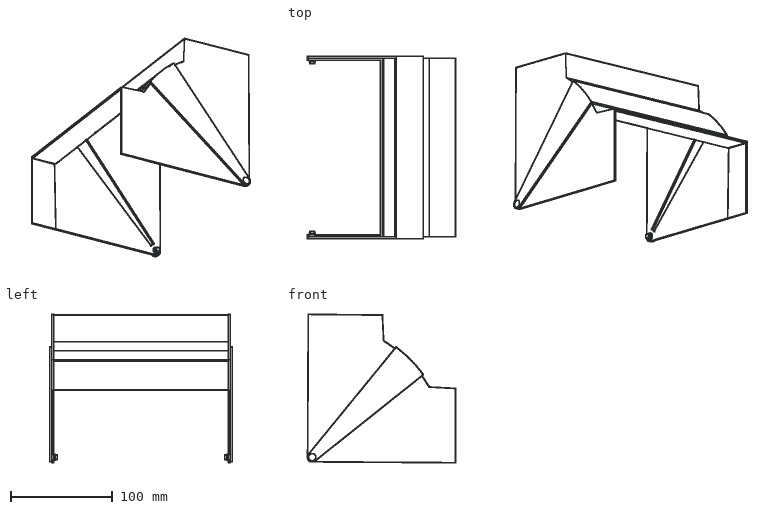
import cadquery as cq
import math

overall_width = 179.4
sheet = 2.0
hub_radius = 4.7

housing_half_width = overall_width / 2 - sheet
housing_radius = 134.2
top_left = (-4.0, 140.5)
top_right = (69.0, 139.8)
upper_neck_x = 70.3
lower_neck_z = 69.0
bridge_drop = 2.9
right_top = (140.8, 67.6)
right_bottom = (140.8, -5.5)

slot_upper_start = (2.3, 6.8)
slot_lower_start = (6.0, 3.8)
slot_upper_angle = 52.3
slot_lower_angle = 45.5

relief_bottom_x = 114.3
relief_top_x = 115.7
relief_depth = 0.4

cover_radius = housing_radius + sheet
cover_upper_angle = 52.7
cover_lower_angle = 36.6

pin_radius = 3.5
collar_radius = 2.9
collar_length = 1.5
tip_radius = 2.3
tip_length = 2.2


def polar(radius, degrees):
    angle = math.radians(degrees)
    return (radius * math.cos(angle), radius * math.sin(angle))


def extrude_centred(profile, half_width):
    """Extrude an XZ profile equally to both sides of the middle plane."""
    return profile.extrude(half_width, both=True)


def cylinder(radius, y_start, y_end):
    """Cylinder on the pivot axis between two Y positions."""
    return cq.Workplane("XZ", origin=(0, y_start, 0)).circle(radius).extrude(y_start - y_end)


def tangent_point(point, side):
    """Touch point on the hub of the line from a point; side is +1 or -1."""
    distance = math.hypot(*point)
    swing = math.degrees(math.acos(hub_radius / distance))
    heading = math.degrees(math.atan2(point[1], point[0]))
    return polar(hub_radius, heading + side * swing)


def housing_outline():
    upper_neck = (upper_neck_x, math.sqrt(housing_radius**2 - upper_neck_x**2))
    lower_neck = (math.sqrt(housing_radius**2 - lower_neck_z**2), lower_neck_z)
    return (
        cq.Workplane("XZ")
        .moveTo(*tangent_point(top_left, 1))
        .lineTo(*top_left)
        .lineTo(*top_right)
        .lineTo(*upper_neck)
        .threePointArc(polar(housing_radius, 45), lower_neck)
        .lineTo(*right_top)
        .lineTo(*right_bottom)
        .lineTo(*tangent_point(right_bottom, -1))
        .threePointArc(polar(hub_radius, 225), tangent_point(top_left, 1))
        .close()
    )


def housing_cavity():
    """Space between the side plates, inside the end walls and the bridge."""
    inner_radius = housing_radius - sheet
    wall_x = top_right[0] - sheet
    inner_neck_x = upper_neck_x - sheet
    inner_neck_z = lower_neck_z - bridge_drop
    roof_z = right_top[1] - sheet
    margin = 9.0
    low = right_bottom[1] - margin
    return (
        cq.Workplane("XZ")
        .moveTo(low, low)
        .lineTo(low, top_left[1] + margin)
        .lineTo(wall_x, top_left[1] + margin)
        .lineTo(wall_x, top_right[1])
        .lineTo(inner_neck_x, math.sqrt(inner_radius**2 - inner_neck_x**2))
        .threePointArc(
            polar(inner_radius, 45),
            (math.sqrt(inner_radius**2 - inner_neck_z**2), inner_neck_z),
        )
        .lineTo(right_top[0], roof_z)
        .lineTo(right_bottom[0] + margin, roof_z)
        .lineTo(right_bottom[0] + margin, low)
        .close()
    )


def slot_outline():
    """Wedge between the leaves, closed by an arc around the pivot."""
    start_radius = math.hypot(*slot_upper_start)
    return (
        cq.Workplane("XZ")
        .moveTo(*slot_upper_start)
        .lineTo(*polar(cover_radius, slot_upper_angle))
        .lineTo(*polar(cover_radius, slot_lower_angle))
        .lineTo(*slot_lower_start)
        .threePointArc(polar(start_radius, 50), slot_upper_start)
        .close()
    )


def relief_outline():
    """Area under the roof from the relief edge to the open end."""
    roof_z = right_top[1] - sheet
    return (
        cq.Workplane("XZ")
        .moveTo(relief_bottom_x, right_bottom[1])
        .lineTo(relief_top_x, roof_z)
        .lineTo(right_top[0], roof_z)
        .lineTo(*right_bottom)
        .close()
    )


def make_housing():
    body = extrude_centred(housing_outline(), housing_half_width)
    body = body.cut(extrude_centred(housing_cavity(), housing_half_width - sheet))
    body = body.cut(extrude_centred(slot_outline(), housing_half_width))
    relief = extrude_centred(relief_outline(), housing_half_width - sheet + relief_depth)
    body = body.cut(relief)
    return body.cut(cylinder(pin_radius, -overall_width / 2, overall_width / 2))


def make_cover():
    upper_tip = polar(cover_radius, cover_upper_angle)
    lower_tip = polar(cover_radius, cover_lower_angle)
    middle_angle = (cover_upper_angle + cover_lower_angle) / 2
    outline = (
        cq.Workplane("XZ")
        .moveTo(*tangent_point(upper_tip, 1))
        .lineTo(*upper_tip)
        .threePointArc(polar(cover_radius, middle_angle), lower_tip)
        .lineTo(*tangent_point(lower_tip, -1))
        .threePointArc(polar(hub_radius, middle_angle + 180), tangent_point(upper_tip, 1))
        .close()
    )
    body = extrude_centred(outline, overall_width / 2)
    body = body.cut(cylinder(housing_radius, -housing_half_width, housing_half_width))
    return body.cut(cylinder(pin_radius, -overall_width / 2, overall_width / 2))


def make_pin(side):
    """Stepped pin, flush with the cover; side is -1 or +1 along Y."""
    outer = overall_width / 2
    plate_inner = outer - 2 * sheet
    collar_end = plate_inner - collar_length
    tip_end = collar_end - tip_length
    steps = (
        (pin_radius, plate_inner, outer),
        (collar_radius, collar_end, plate_inner),
        (tip_radius, tip_end, collar_end),
    )
    pin = cq.Workplane("XZ")
    for radius, inner_y, outer_y in steps:
        pin = pin.union(cylinder(radius, side * inner_y, side * outer_y))
    return pin


housing = make_housing()
cover = make_cover()
pins = [make_pin(side) for side in (-1, 1)]

result = cq.Compound.makeCompound([housing.val(), cover.val(), *[pin.val() for pin in pins]])